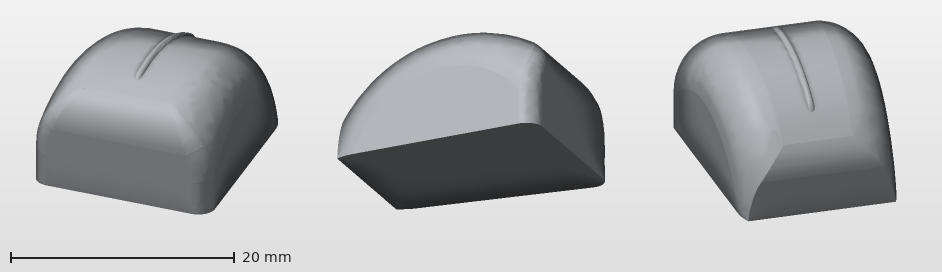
import cadquery as cq
import math

length = 20.0
front_half_width = 8.75
rear_half_width = 7.2
half_length = length / 2

crown_radius = 14.0
crown_height = 11.02
crown_center_y = -1.32
crown_center_z = crown_height - crown_radius

end_radius = 4.2
side_radius = 4.3
corner_radius = 1.55

nose_depth = 2.0

rib_radius = 0.35
rib_height = 0.28
rib_front_y = -5.0
rib_rear_y = 5.8
rib_end_bend = 1.7
rib_end_angle = 60.0

margin = 2.0
base_margin = 6.0


def crown_point(y, radius=crown_radius):
    """Point (y, z) above y on a circle concentric with the crown."""
    return y, crown_center_z + math.sqrt(radius**2 - (y - crown_center_y) ** 2)


def end_tangents(end_y):
    """Wall tangent, middle and crown tangent of the arc that rounds one end."""
    inward = -math.copysign(1, end_y)
    center_y, center_z = crown_point(end_y + inward * end_radius, crown_radius - end_radius)
    crown_angle = math.atan2(center_z - crown_center_z, center_y - crown_center_y)
    wall_angle = math.pi if end_y < 0 else 0.0
    angles = (wall_angle, (wall_angle + crown_angle) / 2, crown_angle)
    return [
        (center_y + end_radius * math.cos(angle), center_z + end_radius * math.sin(angle))
        for angle in angles
    ]


def rounded_half_stock():
    """Right half of the tapered block under the crown, its long top edge rounded."""
    reach = half_length + margin
    taper = (front_half_width - rear_half_width) / length
    plan = [
        (0, -reach),
        (front_half_width + taper * margin, -reach),
        (rear_half_width - taper * margin, reach),
        (0, reach),
    ]
    stock_bottom = -crown_height
    block = (
        cq.Workplane("XY", origin=(0, 0, stock_bottom))
        .polyline(plan)
        .close()
        .extrude(2 * crown_height)
    )
    crown = (
        cq.Workplane("YZ")
        .moveTo(-reach, stock_bottom)
        .lineTo(*crown_point(-reach))
        .threePointArc((crown_center_y, crown_height), crown_point(reach))
        .lineTo(reach, stock_bottom)
        .close()
        .extrude(length)
    )
    return block.intersect(crown).faces(">X").edges(">Z").fillet(side_radius)


def side_profile():
    """Side outline with upright ends, rounded ends and crown, reaching below the base."""
    front_wall, front_middle, front_crown = end_tangents(-half_length)
    rear_wall, rear_middle, rear_crown = end_tangents(half_length)
    return (
        cq.Workplane("YZ")
        .moveTo(-half_length, -base_margin)
        .lineTo(*front_wall)
        .threePointArc(front_middle, front_crown)
        .threePointArc((crown_center_y, crown_height), rear_crown)
        .threePointArc(rear_middle, rear_wall)
        .lineTo(half_length, -base_margin)
        .close()
        .extrude(length)
    )


def body():
    """Both halves of the body, with the front corners rounded, cut flat at the base."""
    half = rounded_half_stock().intersect(side_profile())
    size = 4 * length
    nose_back_y = nose_depth - half_length
    nose_region = cq.Workplane("XY").box(size, size, size).translate((0, nose_back_y - size / 2, 0))
    nose = half.intersect(nose_region)
    nose = nose.faces("<Y").edges("|Z").edges(">X").fillet(corner_radius)
    half = half.cut(nose_region).union(nose)
    above_base = cq.Workplane("XY").box(size, size, size).translate((0, 0, size / 2))
    half = half.intersect(above_base)
    return half.union(half.mirror("YZ"))


def bent_end(end_y, path_radius):
    """Middle and tip of the tighter arc that carries the rib path into the crown."""
    start_y, start_z = crown_point(end_y, path_radius)
    start_angle = math.atan2(start_z - crown_center_z, start_y - crown_center_y)
    bend_y = start_y - rib_end_bend * math.cos(start_angle)
    bend_z = start_z - rib_end_bend * math.sin(start_angle)
    turn = math.radians(rib_end_angle) * (1 if end_y < 0 else -1)
    return [
        (bend_y + rib_end_bend * math.cos(angle), bend_z + rib_end_bend * math.sin(angle))
        for angle in (start_angle + turn / 2, start_angle + turn)
    ]


def rib():
    """Round bar along the crown whose ends curve down into it."""
    path_radius = crown_radius + rib_height - rib_radius
    front_middle, front_tip = bent_end(rib_front_y, path_radius)
    rear_middle, rear_tip = bent_end(rib_rear_y, path_radius)
    path = (
        cq.Workplane("YZ")
        .moveTo(*front_tip)
        .threePointArc(front_middle, crown_point(rib_front_y, path_radius))
        .threePointArc(crown_point(crown_center_y, path_radius), crown_point(rib_rear_y, path_radius))
        .threePointArc(rear_middle, rear_tip)
        .wire()
    )
    path_start = path.val().tangentAt(0)
    tip_plane = cq.Plane(origin=(0, *front_tip), xDir=(1, 0, 0), normal=path_start)
    return cq.Workplane(tip_plane).circle(rib_radius).sweep(path)


result = body().union(rib())